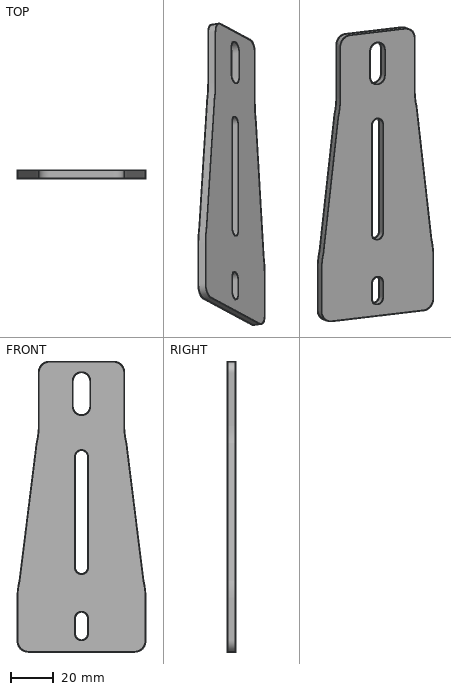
import cadquery as cq

height = 135.6
thickness = 4.0
base_width = 60.0
head_width = 40.0
base_corner_radius = 5.3
head_corner_radius = 5.0

taper_bottom = 25.4
taper_top = 105.7
arc_height = 8.1

base_slot = (6.0, 5.5, 18.7)
middle_slot = (6.0, 36.5, 94.3)
head_slot = (8.0, 110.7, 130.6)


def make_plate():
    base_x = base_width / 2
    head_x = head_width / 2
    arc_offset = (base_x - head_x) * arc_height / (taper_top - taper_bottom)
    lower_arc_end = (base_x - arc_offset, taper_bottom + arc_height)
    upper_arc_end = (head_x + arc_offset, taper_top - arc_height)
    head_arc_radius = (arc_height**2 + arc_offset**2) / (2 * arc_offset)
    half_plate = (
        cq.Workplane("XZ")
        .lineTo(base_x, 0)
        .lineTo(base_x, taper_bottom)
        .tangentArcPoint(lower_arc_end, relative=False)
        .lineTo(*upper_arc_end)
        .radiusArc((head_x, taper_top), head_arc_radius)
        .lineTo(head_x, height)
        .lineTo(0, height)
        .close()
        .extrude(thickness / 2, both=True)
    )
    plate = half_plate.union(half_plate.mirror("YZ")).clean()
    plate = plate.edges("|Y and <Z").edges("<X or >X").fillet(base_corner_radius)
    return plate.edges("|Y and >Z").edges("<X or >X").fillet(head_corner_radius)


def cut_slot(plate, width, bottom, top):
    cutter = (
        cq.Workplane("XZ")
        .center(0, (bottom + top) / 2)
        .slot2D(top - bottom, width, 90)
        .extrude(thickness, both=True)
    )
    return plate.cut(cutter)


result = make_plate()
for slot in (base_slot, middle_slot, head_slot):
    result = cut_slot(result, *slot)